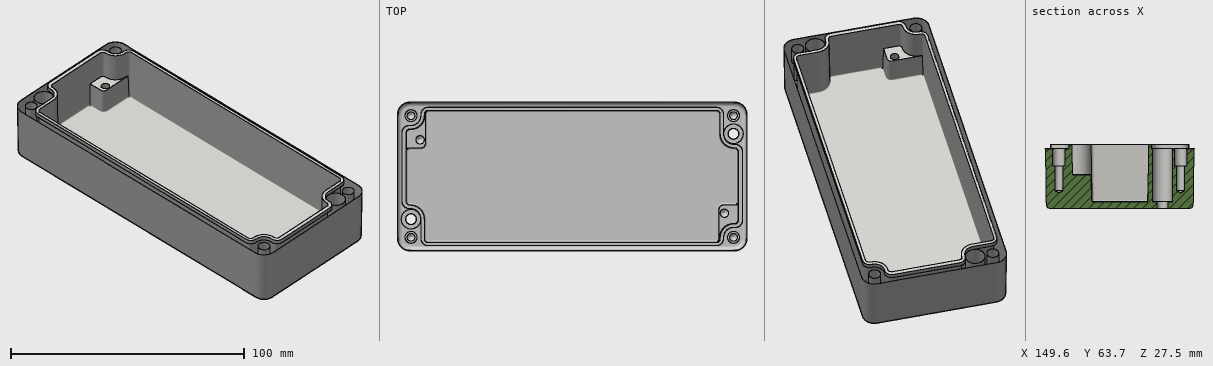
import cadquery as cq
import math

length = 149.6
width = 63.7
height = 27.5
lip_height = 1.8
body_corner_radius = 5.5
body_draft = 0.8
base_fillet = 1.8
rim_z = height - lip_height

lip_half_length = 72.9
lip_half_width = 29.6
lip_end_wall = 1.8
lip_side_wall = 1.3
lip_post_wall = 1.5
lip_corner_radius = 3.1
lip_draft = 2.0
mouth_corner_radius = 1.6

floor_z = 3.0
cavity_draft = 1.0
floor_fillet = 0.5

screw_x = 69.0
screw_y = 26.0
screw_post_radius = 4.2
screw_clearance_radius = 2.5
screw_clearance_depth = 7.5
screw_pilot_radius = 1.6
screw_pilot_depth = 18.0

mount_y = 18.2
mount_post_radius = 4.5
mount_post_x = screw_x - screw_post_radius + mount_post_radius
mount_bore_radius = 4.2
mount_bore_floor_z = floor_z
mount_hole_radius = 2.2

pad_top_z = 14.5
pad_edge_x = 62.8
pad_edge_y = 12.3
pad_corner_radius = 1.8
pad_draft = 2.0
pad_hole_x = 65.0
pad_hole_y = 15.7
pad_hole_radius = 1.8
pad_hole_depth = 7.5

drill_tip_angle = 118.0


def block(x_min, x_max, y_min, y_max, depth):
    """Box between the given sides, standing on Z = 0."""
    corner = (x_min, y_min, 0)
    return cq.Workplane("XY", origin=corner).box(x_max - x_min, y_max - y_min, depth, centered=False)


def half_turn(shape):
    """Copy of a shape turned half a turn about Z."""
    return shape.rotate((0, 0, 0), (0, 0, 1), 180)


def corner_post(center_x, center_y, radius, depth):
    """Corner filling at -X and +Y, rounded towards the middle of the part."""
    nose = cq.Workplane("XY").center(center_x, center_y).circle(radius).extrude(depth)
    side_part = block(-length, center_x + radius, center_y, width, depth)
    end_part = block(-length, center_x, center_y - radius, width, depth)
    return nose.union(side_part).union(end_part)


def lip_outline(half_length, half_width, post_wall, corner_radius):
    """Wire on Z = 0 that follows the lip around the four corner posts."""
    depth = 1.5
    plate = block(-half_length, half_length, -half_width, half_width, depth)
    screw_post = corner_post(-screw_x, screw_y, screw_post_radius + post_wall, depth)
    mount_post = corner_post(-mount_post_x, mount_y, mount_post_radius + post_wall, depth).mirror("XZ")
    for post in (screw_post, mount_post):
        plate = plate.cut(post).cut(half_turn(post))

    tolerance = 0.01
    ends_and_sides = plate.edges("|Z").filter(
        lambda edge: abs(edge.Center().x) > half_length - tolerance
        or abs(edge.Center().y) > half_width - tolerance
    )
    return ends_and_sides.fillet(corner_radius).faces("<Z").wires().val()


def drafted(outline, depth, draft, base_z):
    """Solid from an outline on Z = 0, narrowing along its depth, moved to base_z."""
    return cq.Workplane("XY").add(outline).toPending().extrude(depth, taper=draft).translate((0, 0, base_z))


def cylinder(radius, bottom_z, top_z, x, y):
    return cq.Workplane("XY", origin=(x, y, bottom_z)).circle(radius).extrude(top_z - bottom_z)


def drilled_hole(radius, depth, top_z, x, y):
    """Blind hole with a conical drill tip below its straight depth."""
    tip = radius / math.tan(math.radians(drill_tip_angle / 2))
    profile = [(0, 0), (radius, 0), (radius, -depth), (0, -depth - tip)]
    drill = cq.Workplane("XZ").polyline(profile).close().revolve(360, (0, 0), (0, 1))
    return drill.translate((x, y, top_z))


def make_body():
    """Drafted outer body, widest at the rim, with the lip standing on it."""
    outline = cq.Sketch().rect(length, width).vertices().fillet(body_corner_radius)
    body = cq.Workplane("XY", origin=(0, 0, rim_z)).placeSketch(outline).extrude(-rim_z, taper=body_draft)
    body = body.faces("<Z").edges().fillet(base_fillet)
    lip = lip_outline(lip_half_length, lip_half_width, 0, lip_corner_radius)
    return body.union(drafted(lip, lip_height, lip_draft, rim_z))


def make_pad():
    """Raised part of the cavity floor at -X and +Y, widening downwards."""
    outline = cq.Sketch().rect(length, width).vertices().fillet(pad_corner_radius)
    center = (-pad_edge_x - length / 2, pad_edge_y + width / 2, pad_top_z)
    return cq.Workplane("XY", origin=center).placeSketch(outline).extrude(-pad_top_z, taper=-pad_draft)


def make_cavity():
    """Space inside the box, narrowing towards the floor, without the two pads."""
    mouth = lip_outline(
        lip_half_length - lip_end_wall, lip_half_width - lip_side_wall, lip_post_wall, mouth_corner_radius
    )
    cavity = drafted(mouth, floor_z - height, cavity_draft, height)
    pad = make_pad()
    cavity = cavity.cut(pad).cut(half_turn(pad))
    return cavity.faces("<Z").edges().fillet(floor_fillet)


result = make_body().cut(make_cavity())

for x_side in (-1, 1):
    for y_side in (-1, 1):
        screw = (x_side * screw_x, y_side * screw_y)
        clearance_floor_z = rim_z - screw_clearance_depth
        result = result.cut(cylinder(screw_clearance_radius, clearance_floor_z, rim_z, *screw))
        result = result.cut(drilled_hole(screw_pilot_radius, screw_pilot_depth, rim_z, *screw))

    mount = (x_side * screw_x, x_side * mount_y)
    result = result.cut(cylinder(mount_hole_radius, 0, rim_z, *mount))
    result = result.cut(cylinder(mount_bore_radius, mount_bore_floor_z, rim_z, *mount))

    pad_hole = (x_side * pad_hole_x, -x_side * pad_hole_y)
    result = result.cut(drilled_hole(pad_hole_radius, pad_hole_depth, pad_top_z, *pad_hole))